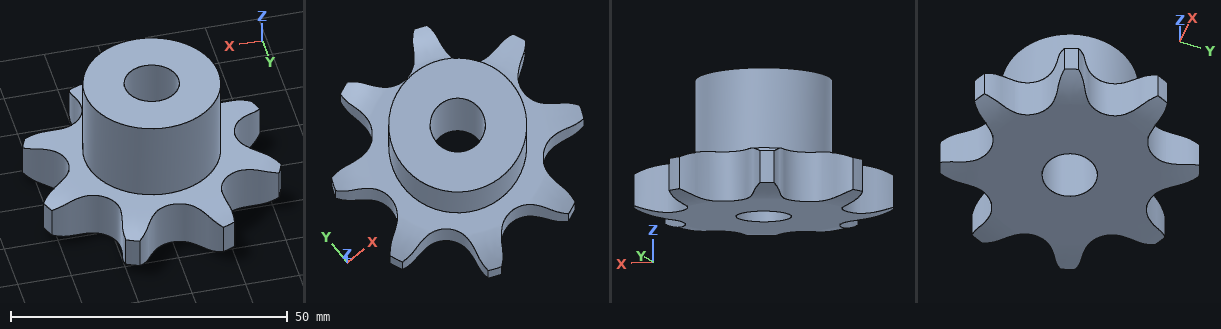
import cadquery as cq
import math

TOOTH_COUNT = 8
TOTAL_HEIGHT = 25.0
HUB_DIAMETER = 25.0
BORE_DIAMETER = 10.0
RIM_THICKNESS = 9.1

TIP_RADIUS = 23.5
ROOT_RADIUS = 15.58
FLAT_RADIUS = 16.55
CROWN_RADIUS = 15.98

SEATING_RADIUS = 5.15
WORKING_RADIUS = 13.25
TOPPING_RADIUS = 8.75
FLANK_STRAIGHT = 0.6
SEATING_ANGLE = 90 - (35 + 60 / TOOTH_COUNT)
WORKING_ANGLE = 18 - 56 / TOOTH_COUNT
TOPPING_ANGLE = 30
CUT_CLEARANCE = 4.45


def arc_point(start, radius, slope_from, slope_to):
    """Move along an arc whose tangent turns between two slopes in degrees."""
    a = math.radians(slope_from)
    b = math.radians(slope_to)
    return (
        start[0] + radius * (math.sin(b) - math.sin(a)),
        start[1] + radius * (math.cos(a) - math.cos(b)),
    )


def mirrored(point):
    return (-point[0], point[1])


def crowned_rim():
    """Revolved blank with both side faces curving in towards the tips."""
    crown_width = TIP_RADIUS - FLAT_RADIUS

    def crown_drop(width):
        return CROWN_RADIUS - math.sqrt(CROWN_RADIUS**2 - width**2)

    middle_radius = FLAT_RADIUS + crown_width / 2
    middle_drop = crown_drop(crown_width / 2)
    tip_drop = crown_drop(crown_width)
    return (
        cq.Workplane("XZ")
        .lineTo(FLAT_RADIUS, 0)
        .threePointArc((middle_radius, middle_drop), (TIP_RADIUS, tip_drop))
        .lineTo(TIP_RADIUS, RIM_THICKNESS - tip_drop)
        .threePointArc((middle_radius, RIM_THICKNESS - middle_drop), (FLAT_RADIUS, RIM_THICKNESS))
        .lineTo(0, RIM_THICKNESS)
        .close()
        .revolve(360, (0, 0), (0, 1))
    )


def tooth_gap():
    """Cutter for one gap, symmetric about +Y."""
    root = (0, ROOT_RADIUS)
    straight_slope = SEATING_ANGLE + WORKING_ANGLE
    topping_slope = straight_slope - TOPPING_ANGLE

    seat_end = arc_point(root, SEATING_RADIUS, 0, SEATING_ANGLE)
    work_mid = arc_point(seat_end, WORKING_RADIUS, SEATING_ANGLE, SEATING_ANGLE + WORKING_ANGLE / 2)
    work_end = arc_point(seat_end, WORKING_RADIUS, SEATING_ANGLE, straight_slope)
    straight_end = (
        work_end[0] + FLANK_STRAIGHT * math.cos(math.radians(straight_slope)),
        work_end[1] + FLANK_STRAIGHT * math.sin(math.radians(straight_slope)),
    )
    top_mid = arc_point(straight_end, -TOPPING_RADIUS, straight_slope, straight_slope - TOPPING_ANGLE / 2)
    top_end = arc_point(straight_end, -TOPPING_RADIUS, straight_slope, topping_slope)
    outer = (top_end[0], TIP_RADIUS + CUT_CLEARANCE)

    return (
        cq.Workplane("XY")
        .moveTo(*mirrored(seat_end))
        .threePointArc(root, seat_end)
        .threePointArc(work_mid, work_end)
        .lineTo(*straight_end)
        .threePointArc(top_mid, top_end)
        .lineTo(*outer)
        .lineTo(*mirrored(outer))
        .lineTo(*mirrored(top_end))
        .threePointArc(mirrored(top_mid), mirrored(straight_end))
        .lineTo(*mirrored(work_end))
        .threePointArc(mirrored(work_mid), mirrored(seat_end))
        .close()
        .extrude(RIM_THICKNESS)
    )


sprocket = crowned_rim()
gap = tooth_gap()
for index in range(TOOTH_COUNT):
    sprocket = sprocket.cut(gap.rotate((0, 0, 0), (0, 0, 1), index * 360 / TOOTH_COUNT))

hub = cq.Workplane("XY").circle(HUB_DIAMETER / 2).extrude(TOTAL_HEIGHT)
bore = cq.Workplane("XY").circle(BORE_DIAMETER / 2).extrude(TOTAL_HEIGHT)
result = sprocket.union(hub).cut(bore)